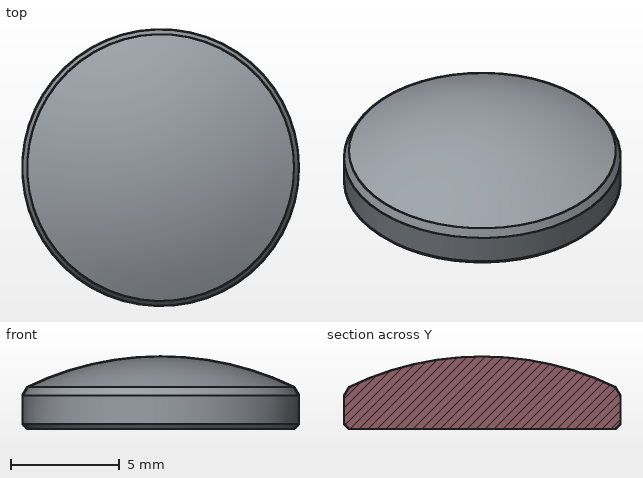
import cadquery as cq

diameter = 12.7
total_height = 3.34
bevel_width = 0.23
bottom_bevel_height = 0.23
top_bevel_height = 0.38
dome_height = 1.41

rim_radius = diameter / 2
bevelled_radius = rim_radius - bevel_width
dome_base_z = total_height - dome_height
dome_sphere_radius = (bevelled_radius**2 + dome_height**2) / (2 * dome_height)

dome_mid_radius = bevelled_radius / 2
dome_centre_z = total_height - dome_sphere_radius
dome_mid_z = dome_centre_z + (dome_sphere_radius**2 - dome_mid_radius**2) ** 0.5

half_section = (
    cq.Workplane("XZ")
    .moveTo(0, 0)
    .lineTo(bevelled_radius, 0)
    .lineTo(rim_radius, bottom_bevel_height)
    .lineTo(rim_radius, dome_base_z - top_bevel_height)
    .lineTo(bevelled_radius, dome_base_z)
    .threePointArc((dome_mid_radius, dome_mid_z), (0, total_height))
    .close()
)

result = half_section.revolve(360, (0, 0, 0), (0, 1, 0))